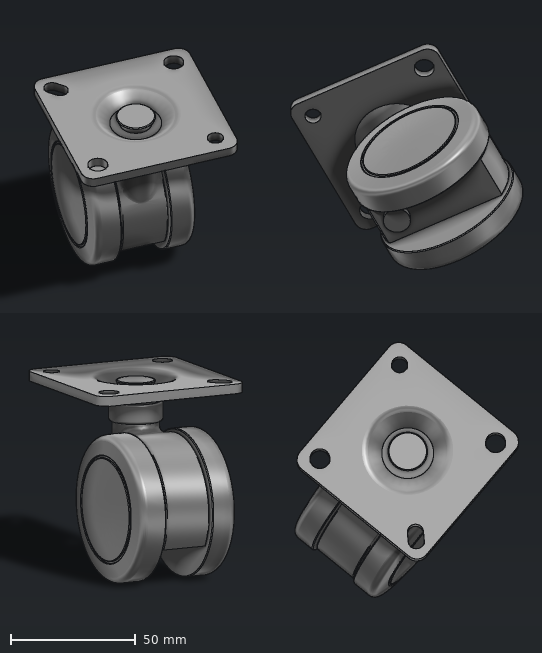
import cadquery as cq
import math


plate_side = 66.0
plate_thickness = 4.0
plate_corner_radius = 5.0
hole_offset = 25.0
large_hole_radius = 4.0
small_hole_radius = 3.2
slot_centre_distance = 3.7
slot_angle = 45

dish_rim_radius = 18.3
dish_rim_rounding = 4.0
dish_floor_radius = 10.4
dish_floor_depth = 5.0
dish_slope = math.radians(37.0)
cone_top_radius = 16.9
cone_bottom_radius = 11.9
cone_bottom_depth = 8.6
collar_radius = 11.0
collar_edge_radius = 1.0
collar_top_depth = 9.8
collar_bottom_depth = 17.8

wheel_axis_x = -17.0
wheel_axis_z = -49.5
housing_radius = 28.6
housing_width = 19.4
housing_edge_radius = 0.4
housing_bottom_depth = 62.8
neck_radius = 9.6
neck_edge_radius = 0.8
neck_blend_radius = 3.0
stem_radius = 6.5
stem_head_radius = 7.9
stem_head_edge = 0.4
stem_head_top_depth = 1.3
foot_radius = 5.4
foot_bottom_depth = 65.4

wheel_radius = 30.0
wheel_inner_y = 10.5
wheel_inner_chamfer = 0.4
wheel_rim_y = 18.4
wheel_shoulder_radius = 27.6
wheel_shoulder_y = 21.4
wheel_apex_y = 24.0
hub_radius = 9.7
groove_outer_radius = 22.0
groove_inner_radius = 20.6
groove_wall_slant = 0.3
groove_depth = 0.4


def revolved(profile):
    """Close a profile and turn it about the vertical axis of its own workplane."""
    return profile.close().revolve(360, (0, 0, 0), (0, 1, 0))


def make_plate():
    """Square plate with its pressed dish and the collar that the stem passes through."""
    plate = (
        cq.Workplane("XY")
        .box(plate_side, plate_side, plate_thickness, centered=(True, True, False))
        .translate((0, 0, -plate_thickness))
        .edges("|Z")
        .fillet(plate_corner_radius)
    )
    collar_face_radius = collar_radius - collar_edge_radius
    swivel = revolved(
        cq.Workplane("XZ")
        .moveTo(0, -plate_thickness)
        .lineTo(cone_top_radius, -plate_thickness)
        .lineTo(cone_bottom_radius, -cone_bottom_depth)
        .tangentArcPoint((collar_face_radius, -collar_top_depth), relative=False)
        .radiusArc((collar_radius, -collar_top_depth - collar_edge_radius), collar_edge_radius)
        .lineTo(collar_radius, -collar_bottom_depth + collar_edge_radius)
        .radiusArc((collar_face_radius, -collar_bottom_depth), collar_edge_radius)
        .lineTo(0, -collar_bottom_depth)
    )
    slope_top_radius = dish_rim_radius - dish_rim_rounding * math.sin(dish_slope)
    slope_top_depth = dish_rim_rounding * (1 - math.cos(dish_slope))
    half_slope = dish_slope / 2
    dish = revolved(
        cq.Workplane("XZ")
        .lineTo(dish_rim_radius, 0)
        .threePointArc(
            (
                dish_rim_radius - dish_rim_rounding * math.sin(half_slope),
                -dish_rim_rounding * (1 - math.cos(half_slope)),
            ),
            (slope_top_radius, -slope_top_depth),
        )
        .lineTo(dish_floor_radius, -dish_floor_depth)
        .lineTo(0, -dish_floor_depth)
    )
    stem_bore = cq.Workplane("XY").circle(stem_radius).extrude(-collar_bottom_depth)
    dished_plate = plate.union(swivel).cut(dish).cut(stem_bore)
    return dished_plate.cut(make_mounting_hole_cutters())


def make_mounting_hole_cutters():
    """Three round holes and one diagonal slot, one at each corner."""
    large = (
        cq.Workplane("XY")
        .pushPoints([(-hole_offset, hole_offset), (hole_offset, -hole_offset)])
        .circle(large_hole_radius)
        .extrude(-plate_thickness)
    )
    small = (
        cq.Workplane("XY")
        .center(hole_offset, hole_offset)
        .circle(small_hole_radius)
        .extrude(-plate_thickness)
    )
    slot = (
        cq.Workplane("XY")
        .center(-hole_offset, -hole_offset)
        .slot2D(slot_centre_distance + 2 * small_hole_radius, 2 * small_hole_radius, slot_angle)
        .extrude(-plate_thickness)
    )
    return large.union(small).union(slot)


def make_drum_and_neck():
    """Drum around the wheel axis, blended into the neck on the swivel axis."""
    drum = (
        cq.Workplane("XZ")
        .center(wheel_axis_x, wheel_axis_z)
        .circle(housing_radius)
        .extrude(housing_width / 2, both=True)
        .edges()
        .fillet(housing_edge_radius)
    )
    neck = cq.Workplane("XY").workplane(offset=wheel_axis_z).circle(neck_radius)
    neck = neck.extrude(-collar_bottom_depth - wheel_axis_z)
    blended = drum.union(neck).edges("%BSPLINE").fillet(neck_blend_radius)
    return blended.faces(">Z").edges().fillet(neck_edge_radius)


def make_housing():
    """Drum with a flat underside, neck, riveted stem through the plate and foot below."""
    removed_size = 2 * housing_radius
    below = (
        cq.Workplane("XY")
        .workplane(offset=-housing_bottom_depth)
        .center(wheel_axis_x, 0)
        .rect(removed_size, removed_size)
        .extrude(-removed_size)
    )
    foot = (
        cq.Workplane("XY")
        .workplane(offset=-foot_bottom_depth)
        .circle(foot_radius)
        .extrude(foot_bottom_depth + wheel_axis_z)
    )
    head_edge_depth = stem_head_top_depth + stem_head_edge
    stem = revolved(
        cq.Workplane("XZ")
        .moveTo(0, -stem_head_top_depth)
        .lineTo(stem_head_radius - stem_head_edge, -stem_head_top_depth)
        .lineTo(stem_head_radius, -head_edge_depth)
        .lineTo(stem_radius, -dish_floor_depth)
        .lineTo(stem_radius, -collar_bottom_depth)
        .lineTo(0, -collar_bottom_depth)
    )
    return make_drum_and_neck().cut(below).union(foot).union(stem)


def make_wheel(side):
    """One wheel; side is -1 for the wheel at -Y and +1 for the wheel at +Y."""
    dome_rise = wheel_apex_y - wheel_shoulder_y
    dome_radius = (wheel_shoulder_radius**2 + dome_rise**2) / (2 * dome_rise)
    dome_centre_y = wheel_apex_y - dome_radius

    def dome_y(radius):
        return dome_centre_y + math.sqrt(dome_radius**2 - radius**2)

    mid_radius = wheel_shoulder_radius / 2
    profile = (
        cq.Workplane("XY")
        .moveTo(0, housing_width / 2)
        .lineTo(hub_radius, housing_width / 2)
        .lineTo(hub_radius, wheel_inner_y)
        .lineTo(wheel_radius - wheel_inner_chamfer, wheel_inner_y)
        .lineTo(wheel_radius, wheel_inner_y + wheel_inner_chamfer)
        .lineTo(wheel_radius, wheel_rim_y)
        .tangentArcPoint((wheel_shoulder_radius, wheel_shoulder_y), relative=False)
        .threePointArc((mid_radius, dome_y(mid_radius)), (0, wheel_apex_y))
    )
    wheel = revolved(profile)
    groove_outer_y = dome_y(groove_outer_radius)
    groove_inner_y = dome_y(groove_inner_radius)
    groove = revolved(
        cq.Workplane("XY")
        .moveTo(groove_outer_radius, groove_outer_y)
        .lineTo(groove_outer_radius - groove_wall_slant, groove_outer_y - groove_depth)
        .lineTo(groove_inner_radius + groove_wall_slant, groove_inner_y - groove_depth)
        .lineTo(groove_inner_radius, groove_inner_y)
        .lineTo(groove_inner_radius, wheel_apex_y)
        .lineTo(groove_outer_radius, wheel_apex_y)
    )
    wheel = wheel.cut(groove)
    if side < 0:
        wheel = wheel.mirror("XZ")
    return wheel.translate((wheel_axis_x, 0, wheel_axis_z))


plate = make_plate()
housing = make_housing()
wheels = [make_wheel(side) for side in (-1, 1)]

result = cq.Compound.makeCompound([plate.val(), housing.val(), *[wheel.val() for wheel in wheels]])